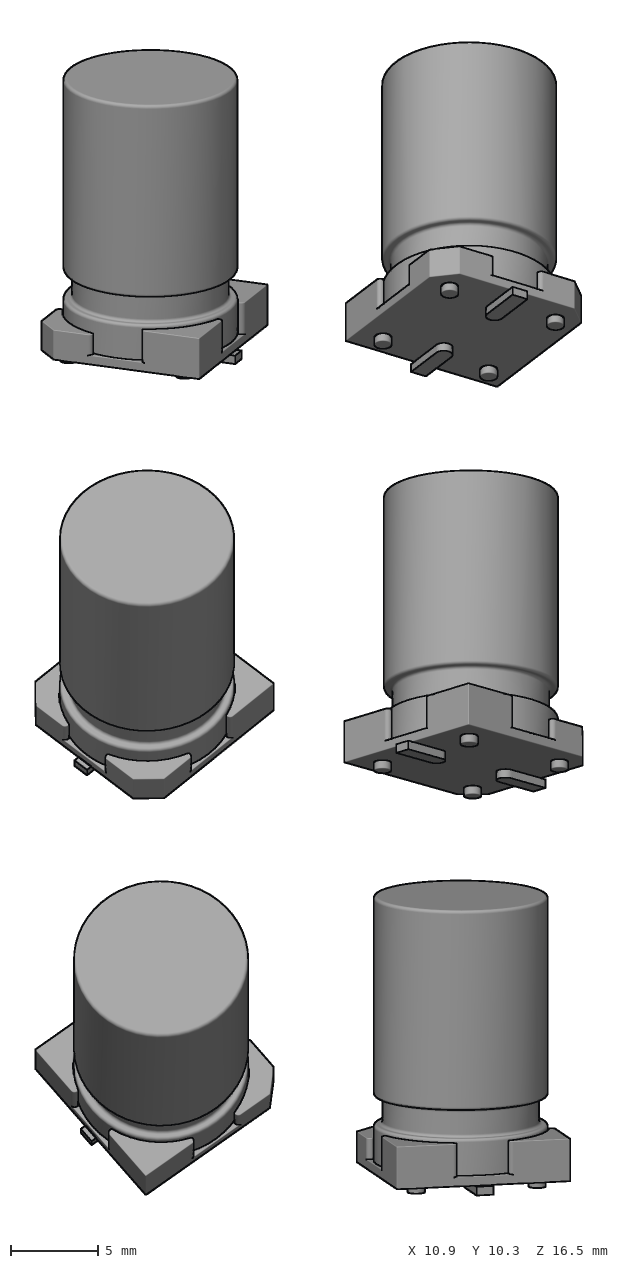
import cadquery as cq
import math

total_height = 16.5

base_size = 10.3
base_bottom = 0.51
shelf_height = 1.09
low_post_top = 2.33
high_post_top = 3.0
corner_chamfer = 1.25
seat_diameter = 10.1
side_opening_width = 3.07
post_outer_rounding = 0.25
post_inner_rounding = 0.08
edge_rounding = 0.05

can_diameter = 10.0
neck_diameter = 9.0
groove_bottom = 3.22
groove_top = 4.87
groove_rounding = 0.18
top_rounding = 0.2

lead_span = 10.9
lead_width = 1.0
lead_inner_end = 2.23
foot_diameter = 1.0
foot_spacing = 7.16

base_half = base_size / 2
seat_radius = seat_diameter / 2
can_radius = can_diameter / 2
neck_radius = neck_diameter / 2
selection_margin = 0.02


def plane_at(height):
    return cq.Workplane("XY").workplane(offset=height)


def post_edge_at(x, y):
    """Selector for the upright post edge that stands at x, y."""
    return cq.selectors.BoxSelector(
        (x - selection_margin, y - selection_margin, shelf_height),
        (x + selection_margin, y + selection_margin, high_post_top),
    )


def make_block():
    """Square block with its two -X corners cut off."""
    block = plane_at(base_bottom).rect(base_size, base_size).extrude(high_post_top - base_bottom)
    block = block.edges("|Z and <X").chamfer(corner_chamfer)
    return block.edges("|Z").fillet(edge_rounding)


def cut_posts(block):
    """Leave four posts around a round seat; the two posts on the -X side are lower."""
    shelf = plane_at(shelf_height)
    depth = high_post_top - shelf_height
    block = block.cut(shelf.circle(seat_radius).extrude(depth))
    block = block.cut(shelf.rect(base_size, side_opening_width).extrude(depth))
    block = block.cut(shelf.rect(side_opening_width, base_size).extrude(depth))
    low_side = plane_at(low_post_top).center(-base_half, 0).rect(base_size, base_size)
    return block.cut(low_side.extrude(high_post_top - low_post_top))


def round_post_sides(base):
    """Round the upright edges where the side openings meet the outer sides and the seat."""
    half_opening = side_opening_width / 2
    seat_corner = math.sqrt(seat_radius**2 - half_opening**2)
    for distance, radius in ((base_half, post_outer_rounding), (seat_corner, post_inner_rounding)):
        for x, y in ((half_opening, distance), (distance, half_opening)):
            for sign_x, sign_y in ((-1, -1), (-1, 1), (1, -1), (1, 1)):
                base = base.edges(post_edge_at(sign_x * x, sign_y * y)).fillet(radius)
    return base


def round_rims(base):
    """Break the rims of the post tops, the outer edges of the shelf and the bottom outline."""
    shelf_zone = cq.selectors.BoxSelector(
        (-base_size, -base_size, shelf_height - selection_margin),
        (base_size, base_size, shelf_height + selection_margin),
    )
    post_tops = base.faces("+Z").faces(cq.selectors.InverseSelector(shelf_zone))
    base = post_tops.edges().fillet(edge_rounding)
    for side in ("<X", ">X", "<Y", ">Y"):
        base = base.faces(side).edges(shelf_zone).fillet(edge_rounding)
    return base.faces("<Z").edges().fillet(edge_rounding)


def make_can():
    """Turned can with a groove whose corners, inner and outer, are all rounded."""
    profile = (
        cq.Workplane("XZ")
        .moveTo(0, shelf_height)
        .lineTo(can_radius, shelf_height)
        .lineTo(can_radius, groove_bottom)
        .lineTo(neck_radius, groove_bottom)
        .lineTo(neck_radius, groove_top)
        .lineTo(can_radius, groove_top)
        .lineTo(can_radius, total_height)
        .lineTo(0, total_height)
        .close()
    )
    can = profile.revolve(360, (0, 0, 0), (0, 1, 0))
    groove_zone = cq.selectors.BoxSelector(
        (-base_size, -base_size, groove_bottom - selection_margin),
        (base_size, base_size, groove_top + selection_margin),
        boundingbox=True,
    )
    can = can.edges("%CIRCLE").edges(groove_zone).fillet(groove_rounding)
    return can.faces(">Z").edges().fillet(top_rounding)


def make_lead(side):
    """Flat lead with a round inner end, pointing to -X or +X as side is -1 or +1."""
    outer_end = lead_span / 2
    half_width = lead_width / 2
    round_center = lead_inner_end + half_width
    return (
        cq.Workplane("XY")
        .moveTo(side * outer_end, -half_width)
        .lineTo(side * round_center, -half_width)
        .threePointArc((side * lead_inner_end, 0), (side * round_center, half_width))
        .lineTo(side * outer_end, half_width)
        .close()
        .extrude(base_bottom)
    )


def make_feet():
    """Four round feet under the posts, with both rims of each foot rounded."""
    feet = (
        cq.Workplane("XY")
        .rect(foot_spacing, foot_spacing, forConstruction=True)
        .vertices()
        .circle(foot_diameter / 2)
        .extrude(base_bottom)
    )
    return feet.faces("|Z").edges().fillet(edge_rounding)


base = round_rims(round_post_sides(cut_posts(make_block())))
result = base.union(make_can()).union(make_feet())
for side in (-1, 1):
    result = result.union(make_lead(side))